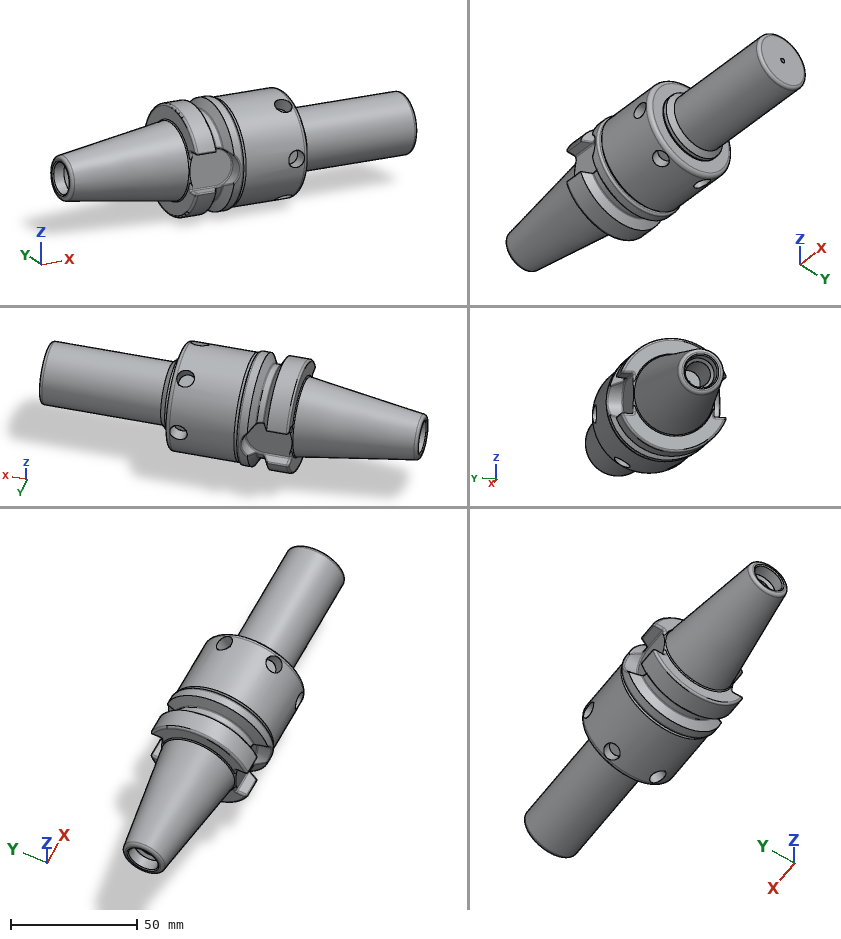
import cadquery as cq
import math


taper_end_radius = 9.1
taper_base_radius = 16.2
taper_length = 49.0
taper_end_fillet = 1.46

flange_start = 49.4
flange_end = 70.3
flange_radius = 23.01
flange_fillet = 1.0
small_fillet = 0.5

groove_start = 58.3
groove_end = 66.0
groove_floor_radius = 19.0
groove_flank_angle = 60

slot_half_width = 8.0
slot_floor_offset = 16.5
slot_end = 68.3

mouth_diameter = 14.2
bore_steps = [(0.5, 13.1), (5.0, 12.6), (6.2, 10.2), (24.6, 10.2)]
coolant_diameter = 2.0

spigot_radius = 15.0
spigot_end = 100.2

nut_end = 99.7
nut_radius = 22.2
nut_back_chamfer = 1.15
nut_front_fillet = 1.8

wrench_hole_count = 6
wrench_hole_diameter = 7.1
wrench_hole_x = 94.2
wrench_hole_floor_radius = 16.5

shank_end = 153.9
shank_radius = 12.8
shank_end_fillet = 1.4
collar_length = 1.5

position_tolerance = 0.02


def revolve_about_x(points):
    """Turn a closed outline of (x, radius) points around the X axis."""
    return cq.Workplane("XY").polyline(points).close().revolve(360, (0, 0, 0), (1, 0, 0))


def ring_edges(body, x, radius):
    """The circular edges of the given radius that lie at x."""
    return body.edges("%CIRCLE").filter(
        lambda edge: abs(edge.Center().x - x) < position_tolerance
        and abs(edge.radius() - radius) < position_tolerance
    )


def make_holder_blank():
    """Taper, grooved flange and the spigot that carries the nut."""
    flank_length = (flange_radius - groove_floor_radius) / math.tan(math.radians(groove_flank_angle))
    floor_start = groove_start + flank_length
    floor_end = groove_end - flank_length
    blank = revolve_about_x(
        [
            (0, 0),
            (0, taper_end_radius),
            (taper_length, taper_base_radius),
            (flange_start, taper_base_radius + small_fillet),
            (flange_start, flange_radius),
            (groove_start, flange_radius),
            (floor_start, groove_floor_radius),
            (floor_end, groove_floor_radius),
            (groove_end, flange_radius),
            (flange_end, flange_radius),
            (flange_end, spigot_radius),
            (spigot_end, spigot_radius),
            (spigot_end, 0),
        ]
    )
    blank = ring_edges(blank, 0, taper_end_radius).fillet(taper_end_fillet)
    blank = ring_edges(blank, flange_end, flange_radius).fillet(flange_fillet)
    for x in (floor_start, floor_end):
        blank = ring_edges(blank, x, groove_floor_radius).fillet(small_fillet)
    return blank


def make_slot_cutter():
    """Round-ended drive slot on the +Y side with a filleted floor."""
    arc_center = slot_end - slot_half_width
    open_end = taper_length
    return (
        cq.Workplane("XZ", origin=(0, slot_floor_offset, 0))
        .moveTo(open_end, slot_half_width)
        .lineTo(arc_center, slot_half_width)
        .threePointArc((slot_end, 0), (arc_center, -slot_half_width))
        .lineTo(open_end, -slot_half_width)
        .close()
        .extrude(-flange_radius)
        .edges("<Y")
        .edges("not <X")
        .fillet(small_fillet)
    )


def make_draw_bolt_bore():
    """Stepped bore from the small end with a coolant passage behind it."""
    steps = [(depth, diameter / 2) for depth, diameter in bore_steps]
    bore_depth = steps[-1][0]
    coolant_radius = coolant_diameter / 2
    return revolve_about_x(
        [(0, 0), (0, mouth_diameter / 2)]
        + steps
        + [(bore_depth, coolant_radius), (spigot_end, coolant_radius), (spigot_end, 0)]
    )


def is_across_axis(edge):
    """True for an edge that keeps one x all along."""
    return edge.BoundingBox().xlen < position_tolerance


def is_slot_rim(edge):
    """True for an edge where a drive-slot wall meets the flange surfaces, away from the slot floor."""
    middle = edge.positionAt(0.5)
    past_arc_center = max(0, middle.x - (slot_end - slot_half_width))
    wall_distance = abs(math.hypot(past_arc_center, middle.z) - slot_half_width)
    above_floor = abs(middle.y) > slot_floor_offset + small_fillet + position_tolerance
    return wall_distance < position_tolerance and above_floor and not is_across_axis(edge)


def is_flange_front_corner(edge):
    """True for the flange front edges: the outer rim and the entrances of the slot walls."""
    at_front = is_across_axis(edge) and abs(edge.Center().x - flange_start) < position_tolerance
    is_outer_rim = edge.geomType() == "CIRCLE" and edge.radius() > slot_floor_offset + small_fillet
    is_wall_entrance = edge.geomType() == "LINE" and edge.BoundingBox().zlen < edge.BoundingBox().ylen
    return at_front and (is_outer_rim or is_wall_entrance)


def make_holder():
    holder = make_holder_blank()
    slot = make_slot_cutter()
    for angle in (0, 180):
        holder = holder.cut(slot.rotate((0, 0, 0), (1, 0, 0), angle))
    holder = holder.edges().filter(is_slot_rim).fillet(small_fillet)
    holder = holder.edges().filter(is_flange_front_corner).fillet(flange_fillet)
    return holder.cut(make_draw_bolt_bore())


def make_nut():
    nut = revolve_about_x(
        [
            (flange_end, spigot_radius),
            (flange_end, nut_radius - nut_back_chamfer),
            (flange_end + nut_back_chamfer, nut_radius),
            (nut_end, nut_radius),
            (nut_end, spigot_radius),
        ]
    )
    nut = ring_edges(nut, nut_end, nut_radius).fillet(nut_front_fillet)
    wrench_hole = (
        cq.Workplane("XZ", origin=(wrench_hole_x, -wrench_hole_floor_radius, 0))
        .circle(wrench_hole_diameter / 2)
        .extrude(nut_radius)
    )
    for index in range(wrench_hole_count):
        nut = nut.cut(wrench_hole.rotate((0, 0, 0), (1, 0, 0), index * 360 / wrench_hole_count))
    return nut


def make_shank():
    """Shank with a bevelled collar against the spigot and the coolant passage through it."""
    coolant_radius = coolant_diameter / 2
    collar_end = spigot_end + collar_length
    bevel_length = spigot_radius - shank_radius
    shank = revolve_about_x(
        [
            (spigot_end, coolant_radius),
            (spigot_end, spigot_radius),
            (collar_end, spigot_radius),
            (collar_end + bevel_length, shank_radius),
            (shank_end, shank_radius),
            (shank_end, coolant_radius),
        ]
    )
    return ring_edges(shank, shank_end, shank_radius).fillet(shank_end_fillet)


holder = make_holder()
nut = make_nut()
shank = make_shank()
result = cq.Compound.makeCompound([holder.val(), nut.val(), shank.val()])